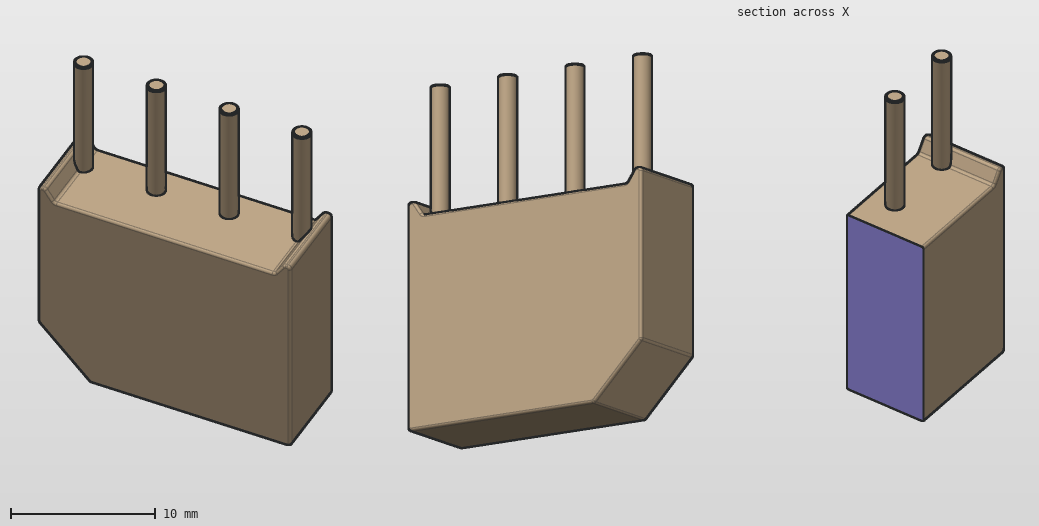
import cadquery as cq

width = 19.5
depth = 6.52
lip_height = 16.25
floor_height = 15.25
corner_cut = 4.0
outline_round = 0.3
face_round = 0.2

lip_top_width = 0.57
lip_base_width = 1.28

pin_count = 4
pin_pitch = 5.6
pin_diameter = 1.33
pin_top = 24.7
pin_chamfer = 0.1
pin_from_back = 2.1


def make_housing():
    """Block with one cut lower corner and a shallow recess between two end lips."""
    profile = [
        (corner_cut, 0),
        (width, 0),
        (width, lip_height),
        (width - lip_top_width, lip_height),
        (width - lip_base_width, floor_height),
        (lip_base_width, floor_height),
        (lip_top_width, lip_height),
        (0, lip_height),
        (0, corner_cut),
    ]
    block = cq.Workplane("XZ").polyline(profile).close().extrude(-depth)

    block = block.edges("|Y").fillet(outline_round)

    return block.faces("<Y or >Y").edges().fillet(face_round)


def make_pin(x):
    """Round pin standing on the floor, with a small chamfer at its tip."""
    pin = (
        cq.Workplane("XY", origin=(x, depth - pin_from_back, floor_height))
        .circle(pin_diameter / 2)
        .extrude(pin_top - floor_height)
    )
    return pin.faces(">Z").chamfer(pin_chamfer)


result = make_housing()
first_pin_x = (width - (pin_count - 1) * pin_pitch) / 2
for index in range(pin_count):
    result = result.union(make_pin(first_pin_x + index * pin_pitch))